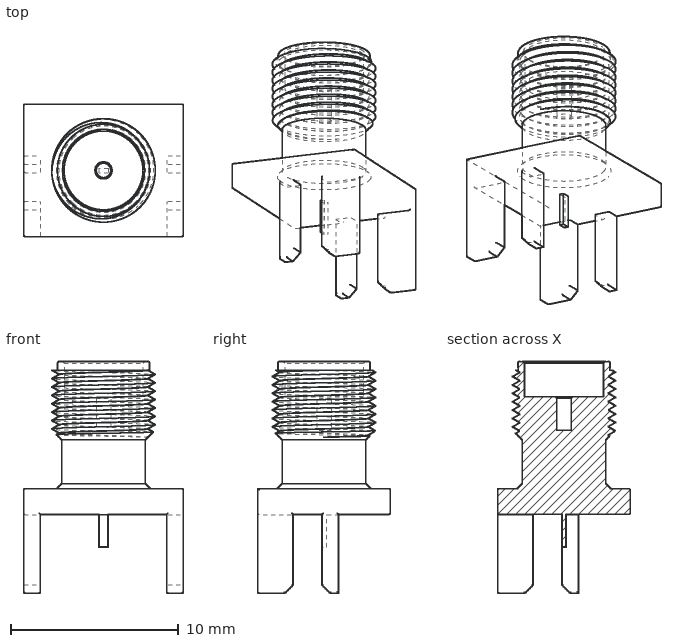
import cadquery as cq
import math


BODY_WIDTH = 9.524
BODY_DEPTH = 7.92
PLATE_THICKNESS = 1.55
LEG_LENGTH = 6.25
LEG_THICKNESS = 1.0
BOARD_FACE_Y = -0.127
BOARD_GAP = 1.71
REAR_LEG_DEPTH = 1.0
LEG_TIP_CHAMFER = 0.5
EDGE_RADIUS = 0.1

BARREL_HEIGHT = 7.58
NECK_RADIUS = 2.5
FLARE_RADIUS = 2.8
NOSE_RADIUS = 2.75
NOSE_LENGTH = 0.51
RIM_RADIUS = 0.1
BORE_CHAMFER = 0.1

THREAD_PITCH = 0.5
THREAD_RADIUS = 3.09
THREAD_ANGLE = 60.0
THREAD_START_Z = 2.9
CREST_Z_AT_PLUS_X = 2.31
ROOT_GAP = 0.004
ROOT_OVERLAP = 0.01

BORE_RADIUS = 2.35
BORE_DEPTH = 2.1
CONTACT_HOLE_RADIUS = 0.43
CONTACT_HOLE_DEPTH = 2.0
CONTACT_HOLE_CHAMFER = 0.08

TAIL_WIDTH = 0.56
TAIL_THICKNESS = 2 * abs(BOARD_FACE_Y)
TAIL_END_Z = -3.5

HALF_WIDTH = BODY_WIDTH / 2
HALF_DEPTH = BODY_DEPTH / 2
THREAD_TOP_Z = BARREL_HEIGHT - NOSE_LENGTH
THREAD_DEPTH = THREAD_PITCH / 2 / math.tan(math.radians(THREAD_ANGLE / 2))
ROOT_RADIUS = THREAD_RADIUS - THREAD_DEPTH
TOLERANCE = 0.001


def make_base():
    """Plate with four legs: a side profile run along X, then opened between the legs."""
    front_leg_inner_y = BOARD_FACE_Y - BOARD_GAP
    rear_leg_outer_y = BOARD_FACE_Y + REAR_LEG_DEPTH
    tip_start_z = LEG_TIP_CHAMFER - LEG_LENGTH
    profile = [
        (-HALF_DEPTH, 0),
        (-HALF_DEPTH, -LEG_LENGTH),
        (front_leg_inner_y - LEG_TIP_CHAMFER, -LEG_LENGTH),
        (front_leg_inner_y, tip_start_z),
        (front_leg_inner_y, -PLATE_THICKNESS),
        (BOARD_FACE_Y, -PLATE_THICKNESS),
        (BOARD_FACE_Y, tip_start_z),
        (BOARD_FACE_Y + LEG_TIP_CHAMFER, -LEG_LENGTH),
        (rear_leg_outer_y, -LEG_LENGTH),
        (rear_leg_outer_y, -PLATE_THICKNESS),
        (HALF_DEPTH, -PLATE_THICKNESS),
        (HALF_DEPTH, 0),
    ]
    block = cq.Workplane("YZ").polyline(profile).close().extrude(HALF_WIDTH, both=True)
    opening = (
        cq.Workplane("XY")
        .workplane(offset=-PLATE_THICKNESS)
        .rect(BODY_WIDTH - 2 * LEG_THICKNESS, 2 * BODY_DEPTH)
        .extrude(-LEG_LENGTH)
    )
    return block.cut(opening)


def is_rounded(edge):
    """True for the edges of the side faces, the inner leg faces, and the front and rear faces.

    The front top edge stays sharp, and so do the inside corners between the legs and the plate.
    """
    box = edge.BoundingBox()
    distance_from_middle = abs(box.center.x)
    along_x = box.xlen > TOLERANCE
    on_side = not along_x and abs(distance_from_middle - HALF_WIDTH) < TOLERANCE
    below_plate = box.zmin < -PLATE_THICKNESS - TOLERANCE
    on_leg = not along_x and below_plate and distance_from_middle < HALF_WIDTH - TOLERANCE
    on_front = box.ymax < TOLERANCE - HALF_DEPTH and box.zmin < -TOLERANCE
    on_rear = box.ymin > HALF_DEPTH - TOLERANCE
    return on_side or on_leg or on_front or on_rear


def round_base_edges(base):
    edges = [edge for edge in base.edges().vals() if is_rounded(edge)]
    return base.newObject(edges).fillet(EDGE_RADIUS)


def revolve_outline(outline):
    """Turn a closed (radius, height) outline about the connector axis."""
    return cq.Workplane("XZ").polyline(outline).close().revolve(360, (0, 0), (0, 1))


def make_neck():
    """Plain cylinder with a 45 degree flare where it meets the plate."""
    return revolve_outline([
        (0, 0),
        (FLARE_RADIUS, 0),
        (NECK_RADIUS, FLARE_RADIUS - NECK_RADIUS),
        (NECK_RADIUS, THREAD_START_Z),
        (0, THREAD_START_Z),
    ])


def make_threaded_section():
    """Core with a right-hand V ridge, cut flat at its top and by a 45 degree cone at its bottom."""
    turns = math.ceil((THREAD_TOP_Z - CREST_Z_AT_PLUS_X) / THREAD_PITCH) + 1
    ridge_height = turns * THREAD_PITCH
    path = cq.Wire.makeHelix(
        THREAD_PITCH, ridge_height, ROOT_RADIUS, center=cq.Vector(0, 0, CREST_Z_AT_PLUS_X)
    )
    half_base = (THREAD_PITCH - ROOT_GAP) / 2
    ridge = (
        cq.Workplane("XZ")
        .polyline([
            (ROOT_RADIUS, CREST_Z_AT_PLUS_X - half_base),
            (THREAD_RADIUS, CREST_Z_AT_PLUS_X),
            (ROOT_RADIUS, CREST_Z_AT_PLUS_X + half_base),
        ])
        .close()
        .sweep(cq.Workplane(path), isFrenet=True)
    )
    core_start_z = CREST_Z_AT_PLUS_X - THREAD_PITCH
    core = (
        cq.Workplane("XY")
        .workplane(offset=core_start_z)
        .circle(ROOT_RADIUS + ROOT_OVERLAP)
        .extrude(ridge_height + 2 * THREAD_PITCH)
    )
    limit_radius = THREAD_RADIUS + THREAD_PITCH
    envelope = revolve_outline([
        (0, THREAD_START_Z),
        (NECK_RADIUS, THREAD_START_Z),
        (limit_radius, THREAD_START_Z + limit_radius - NECK_RADIUS),
        (limit_radius, THREAD_TOP_Z),
        (0, THREAD_TOP_Z),
    ])
    return core.union(ridge, clean=False).intersect(envelope, clean=False)


def make_nose():
    """Plain ring above the thread with a rounded rim."""
    nose = cq.Workplane("XY").workplane(offset=THREAD_TOP_Z).circle(NOSE_RADIUS).extrude(NOSE_LENGTH)
    return nose.faces(">Z").edges().fillet(RIM_RADIUS)


def make_socket():
    """Space inside the barrel: chamfered bore and chamfered hole of the centre contact."""
    floor_z = BARREL_HEIGHT - BORE_DEPTH
    return revolve_outline([
        (0, BARREL_HEIGHT),
        (BORE_RADIUS + BORE_CHAMFER, BARREL_HEIGHT),
        (BORE_RADIUS, BARREL_HEIGHT - BORE_CHAMFER),
        (BORE_RADIUS, floor_z),
        (CONTACT_HOLE_RADIUS + CONTACT_HOLE_CHAMFER, floor_z),
        (CONTACT_HOLE_RADIUS, floor_z - CONTACT_HOLE_CHAMFER),
        (CONTACT_HOLE_RADIUS, floor_z - CONTACT_HOLE_DEPTH),
        (0, floor_z - CONTACT_HOLE_DEPTH),
    ])


def make_tail():
    """Flat solder tail on the connector axis, its underside level with the board face."""
    root_z = -PLATE_THICKNESS / 2
    return (
        cq.Workplane("XY")
        .workplane(offset=TAIL_END_Z)
        .rect(TAIL_WIDTH, TAIL_THICKNESS)
        .extrude(root_z - TAIL_END_Z)
    )


base = round_base_edges(make_base())
barrel = make_neck().union(make_threaded_section(), clean=False).union(make_nose(), clean=False)
result = base.union(barrel, clean=False).union(make_tail(), clean=False).cut(make_socket(), clean=False)